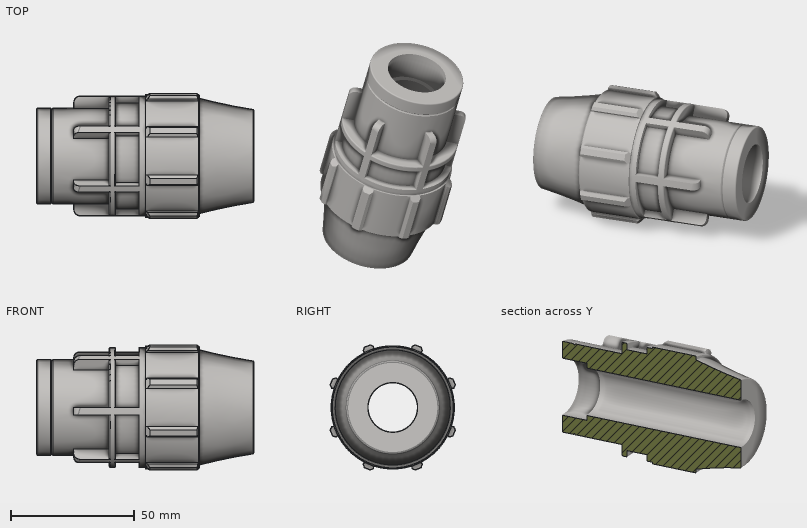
import cadquery as cq


tube_radius = 38.88 / 2
tube_edge_round = 0.5
groove_start = 5.6
groove_width = 0.9
groove_depth = groove_width / 2

flange_radius = 48.6 / 2
first_flange_start = 29.4
first_flange_end = 32.0
flange_edge_round = 0.5
band_radius = 21.6
second_flange_start = 41.5

nut_start = 44.2
nut_end = 66.0
nut_radius = 25.0
nut_chamfer = 0.5
nose_base_radius = 23.35
nose_mid_radius = 20.85
nose_tip_radius = 18.9
nose_edge_round = 0.6
total_length = 88.0

counterbore_radius = 24.12 / 2
counterbore_depth = 12.0
bore_radius = 20.0 / 2

rib_count = 6
rib_start = 15.0
rib_thickness = 3.0
rib_corner_round = 2.7

root_overlap = 1.0

ridge_count = 8
ridge_top_distance = 26.96
ridge_top_width = 2.6
ridge_shoulder_distance = 25.85
ridge_shoulder_width = 4.6
ridge_root_width = 4.1
ridge_root_distance = nut_radius - root_overlap
ridge_front_slope_length = 1.7
ridge_back_setback = 1.0
ridge_back_start = nut_end - ridge_back_setback
ridge_back_end = nut_end - nut_chamfer


def turned_cylinder(start, end, radius):
    """Solid cylinder on the X axis between two stations."""
    end_plane = cq.Plane(origin=(start, 0, 0), xDir=(0, 0, 1), normal=(1, 0, 0))
    return cq.Workplane(end_plane).circle(radius).extrude(end - start)


def rotated_copies(body, count, first_angle):
    """Evenly spaced copies of a body around the X axis, as a list."""
    step = 360.0 / count
    return [body.rotate((0, 0, 0), (1, 0, 0), first_angle + i * step) for i in range(count)]


def make_tube():
    tube = turned_cylinder(0, nut_start, tube_radius).faces("<X").edges().fillet(tube_edge_round)
    groove = (
        cq.Workplane("XZ")
        .moveTo(groove_start, tube_radius)
        .lineTo(groove_start + groove_width / 2, tube_radius - groove_depth)
        .lineTo(groove_start + groove_width, tube_radius)
        .close()
        .revolve(360, (0, 0, 0), (1, 0, 0))
    )
    return tube.cut(groove)


def make_flanges():
    first = turned_cylinder(first_flange_start, first_flange_end, flange_radius)
    first = first.edges("%CIRCLE").fillet(flange_edge_round)
    band = turned_cylinder(first_flange_end - flange_edge_round, second_flange_start, band_radius)
    second = turned_cylinder(second_flange_start, nut_start, flange_radius)
    return first.union(band).union(second)


def make_nut():
    """Chamfered nut body followed by a slightly hollow taper."""
    tip_start = total_length - nose_edge_round
    nose_middle = (nut_end + tip_start) / 2
    profile = (
        cq.Workplane("XZ")
        .moveTo(nut_start, 0)
        .lineTo(nut_start, nut_radius)
        .lineTo(nut_end - nut_chamfer, nut_radius)
        .lineTo(nut_end, nut_radius - nut_chamfer)
        .lineTo(nut_end, nose_base_radius)
        .threePointArc((nose_middle, nose_mid_radius), (tip_start, nose_tip_radius))
        .radiusArc((total_length, nose_tip_radius - nose_edge_round), nose_edge_round)
        .lineTo(total_length, 0)
        .close()
    )
    return profile.revolve(360, (0, 0, 0), (1, 0, 0))


def make_rib():
    """Rib toward -Y with a rounded front corner, flat on its outer face."""
    rib_root = tube_radius - root_overlap
    return (
        cq.Workplane("XY")
        .moveTo(rib_start, -rib_root)
        .lineTo(rib_start, rib_corner_round - flange_radius)
        .radiusArc((rib_start + rib_corner_round, -flange_radius), -rib_corner_round)
        .lineTo(nut_start, -flange_radius)
        .lineTo(nut_start, -rib_root)
        .close()
        .extrude(-rib_thickness)
    )


def make_ribs():
    """All ribs, with their outer faces trimmed to the flange cylinder."""
    ribs = cq.Workplane("XY")
    for rib in rotated_copies(make_rib(), rib_count, 0):
        ribs = ribs.add(rib)
    ribs = ribs.combine()
    return ribs.intersect(turned_cylinder(rib_start, nut_start, flange_radius))


def make_ridge():
    """Grip ridge toward +Z: shouldered cross-section with sloped ends."""
    section = (
        cq.Workplane("YZ", origin=(nut_start, 0, 0))
        .moveTo(-ridge_root_width / 2, ridge_root_distance)
        .lineTo(-ridge_root_width / 2, nut_radius)
        .lineTo(-ridge_shoulder_width / 2, ridge_shoulder_distance)
        .lineTo(-ridge_top_width / 2, ridge_top_distance)
        .lineTo(ridge_top_width / 2, ridge_top_distance)
        .lineTo(ridge_shoulder_width / 2, ridge_shoulder_distance)
        .lineTo(ridge_root_width / 2, nut_radius)
        .lineTo(ridge_root_width / 2, ridge_root_distance)
        .close()
        .extrude(nut_end - nut_start)
    )
    side = (
        cq.Workplane("XZ")
        .moveTo(nut_start, ridge_root_distance)
        .lineTo(nut_start, nut_radius)
        .lineTo(nut_start + ridge_front_slope_length, ridge_top_distance)
        .lineTo(ridge_back_start, ridge_top_distance)
        .lineTo(ridge_back_end, nut_radius)
        .lineTo(ridge_back_end, ridge_root_distance)
        .close()
        .extrude(ridge_shoulder_width, both=True)
    )
    return section.intersect(side)


def make_bore():
    counterbore = turned_cylinder(0, counterbore_depth, counterbore_radius)
    return counterbore.union(turned_cylinder(0, total_length, bore_radius))


coupling = make_tube().union(make_flanges()).union(make_ribs()).union(make_nut())
for ridge in rotated_copies(make_ridge(), ridge_count, 180.0 / ridge_count):
    coupling = coupling.union(ridge)

result = coupling.cut(make_bore())